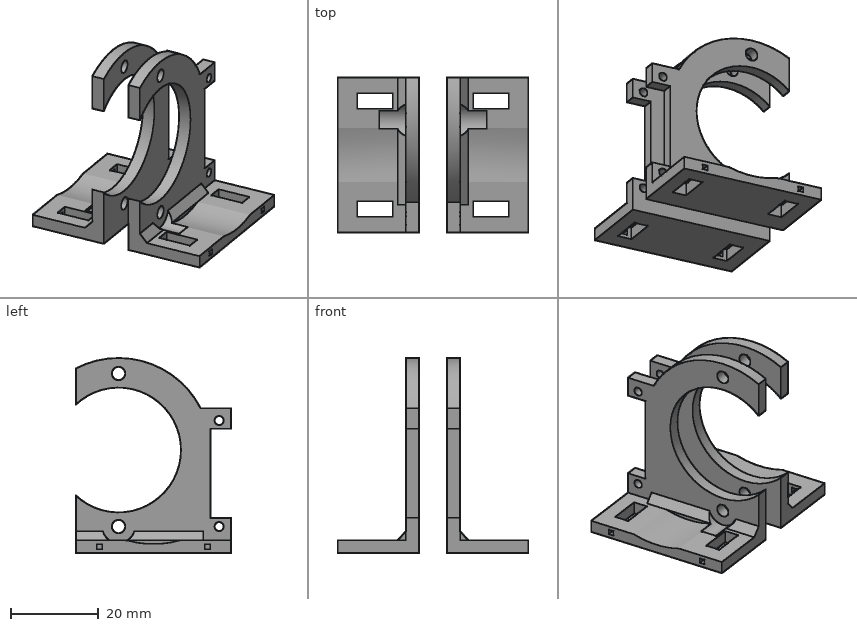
import cadquery as cq

length_x = 43.5
width_y = 35.5
height_z = 44.55
bracket_gap = 6.37
plate_thickness = 3.05
base_thickness = 2.95

outer_x = length_x / 2
inner_x = bracket_gap / 2
plate_x = inner_x + plate_thickness
back_y = width_y / 2
front_y = -back_y

ring_y = 8.0
ring_outer_radius = 21.05
ring_inner_radius = 14.2
ring_z = height_z - ring_outer_radius
ring_hole_diameter = 3.0
ring_hole_offset = 17.45

web_front_y = -13.05
upper_tab_top = 33.05
upper_tab_bottom = 28.35
lower_tab_top = 8.02
tab_hole_diameter = 2.0
tab_hole_y = -14.98
upper_tab_hole_z = 30.25
lower_tab_hole_z = 6.05

gusset_depth = 1.85
gusset_height = 2.0
gusset_front_y = -11.3
gusset_toe_x = plate_x + gusset_depth
clearance_diameter = 7.5
clearance_depth = 6.0

trough_width = 12.35
trough_depth = 0.9
slot_length = 8.02
slot_width = 3.48
slot_margin = 4.5
slot_y = 12.35
side_hole_width = 1.3
side_hole_height = 1.15


def box(x_min, x_max, y_min, y_max, z_min, z_max):
    """Box given by its limits along each axis."""
    return cq.Workplane("XY").box(
        x_max - x_min, y_max - y_min, z_max - z_min, centered=False
    ).translate((x_min, y_min, z_min))


def rod(x_start, length, y, z, diameter):
    """Cylinder along +X."""
    return (
        cq.Workplane("YZ", origin=(x_start, y, z))
        .circle(diameter / 2)
        .extrude(length)
    )


def make_plate():
    """Upright plate with the open ring and the two screw tabs."""
    ring = rod(inner_x, plate_thickness, ring_y, ring_z, 2 * ring_outer_radius)
    ring = ring.intersect(box(inner_x, plate_x, front_y, back_y, upper_tab_bottom, height_z))
    web = box(inner_x, plate_x, web_front_y, back_y, 0, upper_tab_top)
    upper_tab = box(inner_x, plate_x, front_y, web_front_y, upper_tab_bottom, upper_tab_top)
    lower_tab = box(inner_x, plate_x, front_y, web_front_y, 0, lower_tab_top)
    bore = rod(inner_x, plate_thickness, ring_y, ring_z, 2 * ring_inner_radius)
    return web.union(ring).union(upper_tab).union(lower_tab).cut(bore)


def make_trough():
    """Shallow cylindrical hollow across the base, ending at the toe of the gusset."""
    half_width = trough_width / 2
    return (
        cq.Workplane("YZ", origin=(gusset_toe_x, 0, 0))
        .moveTo(-half_width, base_thickness)
        .threePointArc((0, base_thickness - trough_depth), (half_width, base_thickness))
        .close()
        .extrude(outer_x - gusset_toe_x)
    )


def make_base():
    """Foot with trough, two mounting slots and a side hole into each slot."""
    base = box(inner_x, outer_x, front_y, back_y, 0, base_thickness).cut(make_trough())
    slot_outer_x = outer_x - slot_margin
    middle_z = base_thickness / 2
    for y in (-slot_y, slot_y):
        slot = box(
            slot_outer_x - slot_length, slot_outer_x,
            y - slot_width / 2, y + slot_width / 2,
            0, base_thickness,
        )
        side_hole = box(
            slot_outer_x, outer_x,
            y - side_hole_width / 2, y + side_hole_width / 2,
            middle_z - side_hole_height / 2, middle_z + side_hole_height / 2,
        )
        base = base.cut(slot).cut(side_hole)
    return base


def make_gusset():
    """Triangular strip in the corner of plate and base."""
    return (
        cq.Workplane("XZ", origin=(0, back_y, 0))
        .moveTo(plate_x, base_thickness)
        .lineTo(gusset_toe_x, base_thickness)
        .lineTo(plate_x, base_thickness + gusset_height)
        .close()
        .extrude(back_y - gusset_front_y)
    )


def make_bracket():
    """Bracket on the +X side."""
    bracket = make_base().union(make_plate()).union(make_gusset())
    lower_ring_hole_z = ring_z - ring_hole_offset
    upper_ring_hole_z = ring_z + ring_hole_offset
    bracket = bracket.cut(
        rod(plate_x, clearance_depth, ring_y, lower_ring_hole_z, clearance_diameter)
    )
    for z in (lower_ring_hole_z, upper_ring_hole_z):
        bracket = bracket.cut(rod(inner_x, plate_thickness, ring_y, z, ring_hole_diameter))
    for z in (lower_tab_hole_z, upper_tab_hole_z):
        bracket = bracket.cut(rod(inner_x, plate_thickness, tab_hole_y, z, tab_hole_diameter))
    return bracket


right_bracket = make_bracket()
left_bracket = right_bracket.mirror("YZ")

result = cq.Compound.makeCompound([right_bracket.val(), left_bracket.val()])